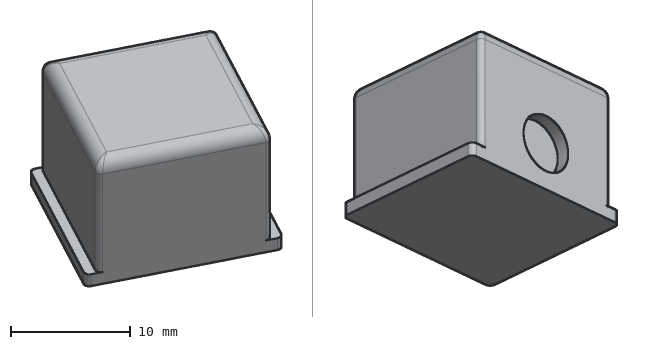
import cadquery as cq

width = 15.3
flange_length = 17.3
height = 12.75
flange_thickness = 1.25
top_radius = 1.25
corner_radius = 0.5
hole_diameter = 5.25
hole_height = 4.38
hole_depth = 1.25


def make_flange():
    """Flat base plate that extends past the cover in Y."""
    plate = cq.Workplane("XY").box(width, flange_length, flange_thickness, centered=(True, True, False))
    return plate.edges("|Z").fillet(corner_radius)


def make_cover():
    """Square block, rounded on top first so that the corner rounding fades out along the mitres."""
    block = cq.Workplane("XY").box(width, width, height, centered=(True, True, False))
    block = block.faces(">Z").edges().fillet(top_radius)
    return block.edges("|Z").fillet(corner_radius)


def make_hole():
    """Blind round hole entering through the -X wall."""
    entry = cq.Workplane("YZ", origin=(-width / 2, 0, hole_height))
    return entry.circle(hole_diameter / 2).extrude(hole_depth)


result = make_flange().union(make_cover()).cut(make_hole())